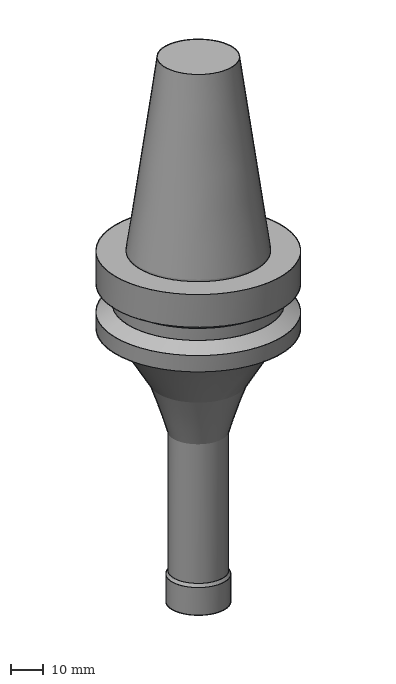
import cadquery as cq
import math

total_height = 185.4

tip_radius = 20.0 / 2
neck_radius = 18.7 / 2
waist_radius = 15.0
nose_radius = 25.8
flange_face_radius = 30.4
flange_radius = 63.0 / 2
groove_radius = 53.0 / 2
shank_radius = 44.5 / 2

tip_height = 9.5
tip_bevel_height = 1.1
neck_top = 57.8

waist_height = 74.7
nose_top = 90.8
lower_flare_depth = 0.2
upper_flare_depth = 0.4

flange_bottom = 93.0
flange_top = 119.4
groove_floor_bottom = 101.5
groove_floor_top = 105.5
groove_side_height = 2.8

shank_land_height = 0.5
taper_bottom = flange_top + shank_land_height
taper_ratio = 7 / 24
shank_end_radius = shank_radius - (total_height - taper_bottom) * taper_ratio / 2


def hollow_midpoint(start, end, depth):
    """Midpoint of an arc that bows by depth towards the axis from a rising, outward chord."""
    run = end[0] - start[0]
    rise = end[1] - start[1]
    chord = math.hypot(run, rise)
    mid_radius = (start[0] + end[0]) / 2 - depth * rise / chord
    mid_height = (start[1] + end[1]) / 2 + depth * run / chord
    return mid_radius, mid_height


neck_end = (neck_radius, neck_top)
waist = (waist_radius, waist_height)
nose_end = (nose_radius, nose_top)

profile = (
    cq.Workplane("XZ")
    .lineTo(tip_radius, 0)
    .lineTo(tip_radius, tip_height)
    .lineTo(neck_radius, tip_height + tip_bevel_height)
    .lineTo(*neck_end)
    .threePointArc(hollow_midpoint(neck_end, waist, lower_flare_depth), waist)
    .threePointArc(hollow_midpoint(waist, nose_end, upper_flare_depth), nose_end)
    .lineTo(flange_face_radius, flange_bottom)
    .lineTo(flange_radius, flange_bottom)
    .lineTo(flange_radius, groove_floor_bottom - groove_side_height)
    .lineTo(groove_radius, groove_floor_bottom)
    .lineTo(groove_radius, groove_floor_top)
    .lineTo(flange_radius, groove_floor_top + groove_side_height)
    .lineTo(flange_radius, flange_top)
    .lineTo(shank_radius, flange_top)
    .lineTo(shank_radius, taper_bottom)
    .lineTo(shank_end_radius, total_height)
    .lineTo(0, total_height)
    .close()
)

result = profile.revolve(360, (0, 0, 0), (0, 1, 0))